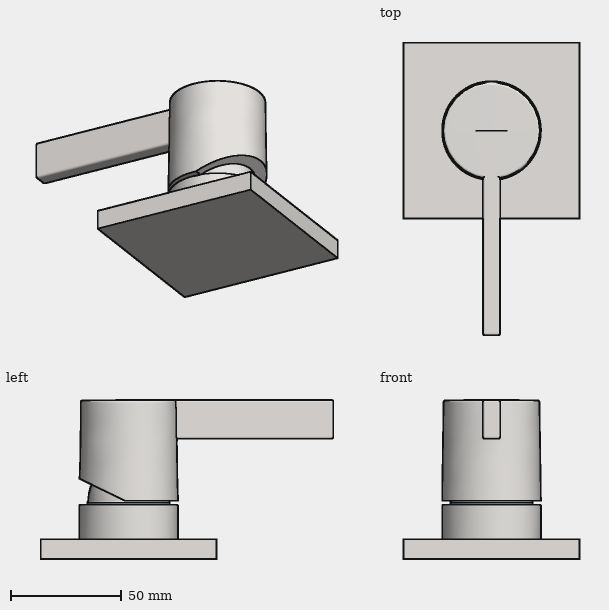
import cadquery as cq
import math

plate_side = 80.0
plate_height = 9.1

collar_radius = 22.5
collar_top = 24.75
collar_edge_radius = 0.8

neck_radius = 18.75
neck_top = 25.7
ball_radius = 18.45
ball_centre_z = 26.5

knob_bottom = ball_centre_z
knob_top = 72.35
knob_bottom_radius = 22.5
knob_top_radius = 21.8
crown_height = 0.25

margin = 1.0

relief_start_y = 1.6
relief_angle = 25.8

bar_width = 7.8
bar_bottom = 54.6
bar_tip_y = -93.0

lever_edge_radius = 1.05


def make_ball():
    return cq.Workplane("XY").sphere(ball_radius).translate((0, 0, ball_centre_z))


def make_plate():
    return cq.Workplane("XY").box(plate_side, plate_side, plate_height, centered=(True, True, False))


def make_collar():
    """Collar, neck and ball joint in one piece."""
    collar = (
        cq.Workplane("XY", origin=(0, 0, plate_height))
        .circle(collar_radius)
        .extrude(collar_top - plate_height)
        .faces(">Z")
        .edges()
        .fillet(collar_edge_radius)
    )
    joint = (
        cq.Workplane("XZ")
        .moveTo(0, plate_height)
        .lineTo(neck_radius, plate_height)
        .lineTo(neck_radius, neck_top)
        .lineTo(ball_radius, ball_centre_z)
        .radiusArc((0, ball_centre_z + ball_radius), -ball_radius)
        .close()
        .revolve(360, (0, 0, 0), (0, 1, 0))
    )
    return collar.union(joint)


def crown_profile():
    """Half section below the gently arched top, from the axis out past the knob."""
    arc_radius = (knob_top_radius**2 + crown_height**2) / (2 * crown_height)
    reach = knob_bottom_radius + margin
    drop = arc_radius - math.sqrt(arc_radius**2 - reach**2)
    return (
        cq.Workplane("XZ")
        .lineTo(reach, 0)
        .lineTo(reach, knob_top - drop)
        .radiusArc((0, knob_top), -arc_radius)
        .close()
    )


def make_crown_envelope():
    """Space under the arched top: domed behind the axis, a straight arch in front of it."""
    dome = crown_profile().revolve(360, (0, 0, 0), (0, 1, 0))
    back = cq.Workplane("XY").box(plate_side, plate_side, 2 * knob_top).translate((0, plate_side / 2, 0))
    arch = crown_profile().extrude(-bar_tip_y + margin)
    return dome.intersect(back).union(arch).union(arch.mirror("YZ"))


def make_knob():
    """Plain tapered knob."""
    return (
        cq.Workplane("XZ")
        .moveTo(0, knob_bottom)
        .lineTo(knob_bottom_radius, knob_bottom)
        .lineTo(knob_top_radius, knob_top)
        .lineTo(0, knob_top)
        .close()
        .revolve(360, (0, 0, 0), (0, 1, 0))
    )


def make_bar():
    """Plain lever bar running from the knob axis to the tip."""
    return (
        cq.Workplane("XY")
        .box(bar_width, -bar_tip_y, knob_top - bar_bottom, centered=(True, False, False))
        .translate((0, bar_tip_y, bar_bottom))
    )


def make_relief():
    """Wedge removed below the sloping back of the knob."""
    end_y = 2 * knob_bottom_radius
    rise = (end_y - relief_start_y) * math.tan(math.radians(relief_angle))
    return (
        cq.Workplane("YZ")
        .polyline([(relief_start_y, knob_bottom), (end_y, knob_bottom), (end_y, knob_bottom + rise)])
        .close()
        .extrude(knob_bottom_radius * 2, both=True)
    )


def make_lever():
    """Knob and bar in one piece, arched on top, rounded, relieved at the back and seated on the ball."""
    blank = make_knob().union(make_bar()).intersect(make_crown_envelope())
    half_side = plate_side / 2
    rim_back = cq.selectors.DirectionMinMaxSelector(cq.Vector(0, 1, 0))
    top_front = cq.selectors.BoxSelector(
        (-half_side, bar_tip_y - margin, knob_top - margin),
        (half_side, -margin, knob_top + margin),
    )
    bar_edges = cq.selectors.BoxSelector(
        (-bar_width, bar_tip_y - margin, bar_bottom - margin),
        (bar_width, -knob_bottom_radius - margin, knob_top + margin),
    )
    rounded = blank.edges(rim_back + top_front + bar_edges).fillet(lever_edge_radius)
    return rounded.cut(make_relief()).cut(make_ball())


plate = make_plate()
collar = make_collar()
lever = make_lever()

result = cq.Compound.makeCompound([plate.val(), collar.val(), lever.val()])